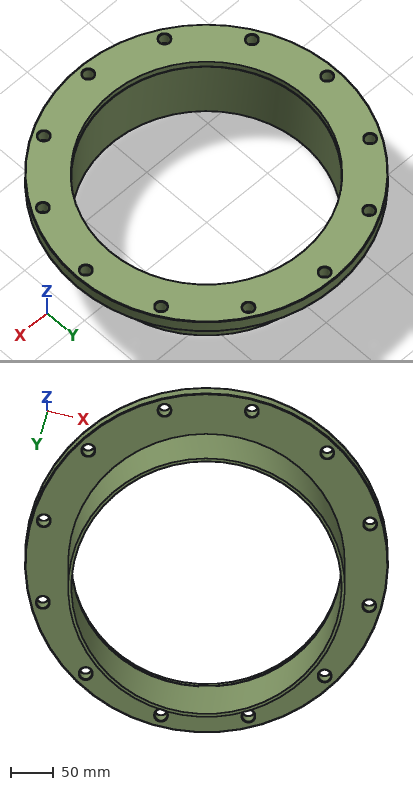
import cadquery as cq

flange_diameter = 425.0
flange_thickness = 20.0
flange_bore = 318.0
rim_chamfer = 1.0

total_height = 100.5
tube_diameter = 324.0
tube_bore = 316.0
ledge_depth = 9.5

bolt_count = 12
bolt_circle_diameter = 395.2
bolt_hole_diameter = 14.5
hole_chamfer = 1.0


def make_flange():
    """Flat disc with both rim edges chamfered."""
    return (
        cq.Workplane("XY")
        .workplane(offset=total_height - flange_thickness)
        .circle(flange_diameter / 2)
        .extrude(flange_thickness)
        .edges("%CIRCLE")
        .chamfer(rim_chamfer)
    )


def make_tube():
    """Solid cylinder from the base up to the top of the flange."""
    return cq.Workplane("XY").circle(tube_diameter / 2).extrude(total_height)


def make_bore():
    """Through bore, widened above a narrow ledge inside the flange."""
    narrow = cq.Workplane("XY").circle(tube_bore / 2).extrude(total_height)
    wide = (
        cq.Workplane("XY")
        .workplane(offset=total_height - ledge_depth)
        .circle(flange_bore / 2)
        .extrude(ledge_depth)
    )
    return narrow.union(wide)


def make_bolt_holes():
    """Ring of through holes chamfered at both ends, the first one on the X axis."""
    hole_radius = bolt_hole_diameter / 2
    mouth_radius = hole_radius + hole_chamfer
    half_profile = [
        (0, 0),
        (mouth_radius, 0),
        (hole_radius, hole_chamfer),
        (hole_radius, flange_thickness - hole_chamfer),
        (mouth_radius, flange_thickness),
        (0, flange_thickness),
    ]
    hole = cq.Workplane("XZ").polyline(half_profile).close().revolve(360, (0, 0), (0, 1))
    return (
        cq.Workplane("XY")
        .workplane(offset=total_height - flange_thickness)
        .polarArray(bolt_circle_diameter / 2, 0, 360, bolt_count)
        .eachpoint(lambda location: hole.val().moved(location))
    )


result = make_flange().union(make_tube()).cut(make_bore()).cut(make_bolt_holes())